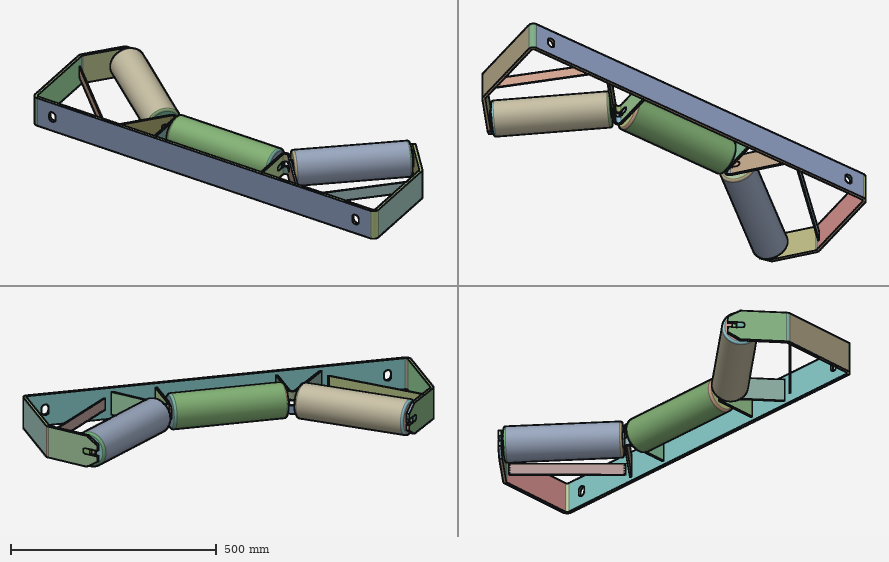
import cadquery as cq
import math


FRAME_WIDTH = 980.0
FRAME_DEPTH = 333.0
STRAP_HEIGHT = 80.0
FRAME_THICKNESS = 8.0
FRAME_BEND_RADIUS = 14.0
ARM_TIP_X = 395.0
TILT = 40.0
TIP_CHAMFER_ALONG = 30.0
TIP_CHAMFER_ACROSS = 19.0
MOUNT_SLOT_X = 433.0
MOUNT_SLOT_WIDTH = 19.0
MOUNT_SLOT_HEIGHT = 27.0

ROLLER_DIAMETER = 89.0
ROLLER_LENGTH = 290.0
ROLLER_FILLET = 6.0
CENTER_AXIS_Y = 101.0
SIDE_AXIS_FROM_TIP = 31.0
BOSS_DIAMETER = 41.0
BOSS_LENGTH = 5.0
SHAFT_HEIGHT = 20.0
SHAFT_WIDTH = 15.0

BRACKET_HEIGHT = 59.0
BRACKET_THICKNESS = 5.0
BRACKET_BEND_RADIUS = 12.0
BRACE_THICKNESS = 3.0
BRACE_HEIGHT = 30.0
BRACE_TOP_Y = 209.0

HALF_SPAN = ROLLER_LENGTH / 2 + BOSS_LENGTH
CUT_MARGIN = 98.0
SIDES = (-1, 1)

tilt = math.radians(TILT)
arm_direction = cq.Vector(math.sin(tilt), math.cos(tilt))
axis_direction = cq.Vector(math.cos(tilt), -math.sin(tilt))

arm_tip = cq.Vector(-ARM_TIP_X, FRAME_DEPTH)
shoulder = arm_tip - arm_direction * ((FRAME_WIDTH / 2 - ARM_TIP_X) / math.sin(tilt))
side_roller_center = (
    arm_tip
    - arm_direction * SIDE_AXIS_FROM_TIP
    + axis_direction * (FRAME_THICKNESS + HALF_SPAN)
)


def mirrored(body):
    """Copy of a left-hand body on the right-hand side."""
    return body.mirror("YZ")


def bent_strip(corners, thickness, bend_radius, height):
    """Strip with one face along the sharp corner points, rounded at each inner corner.

    Positive thickness grows to the left of the path, negative to the right.
    bend_radius is the bend radius of the face along the path.
    """
    up = cq.Vector(0, 0, 1)
    headings = [(b - a).normalized() for a, b in zip(corners, corners[1:])]
    normals = [up.cross(heading) for heading in headings]

    def bend_points(index, offset):
        corner = corners[index]
        before, after = normals[index - 1], normals[index]
        heading = headings[index - 1]
        side = math.copysign(1, heading.cross(headings[index]).z)
        setback = bend_radius * math.tan(heading.getAngle(headings[index]) / 2)
        center = corner - heading * setback + before * (side * bend_radius)
        reach = side * bend_radius - offset
        middle = (before + after).normalized()
        return [center - normal * reach for normal in (before, middle, after)]

    bends = range(1, len(corners) - 1)
    outline = cq.Workplane("XY", origin=(0, 0, -height / 2)).moveTo(*corners[0].toTuple()[:2])
    for index in bends:
        start, middle, end = [p.toTuple()[:2] for p in bend_points(index, 0)]
        outline = outline.lineTo(*start).threePointArc(middle, end)
    outline = outline.lineTo(*corners[-1].toTuple()[:2])
    outline = outline.lineTo(*(corners[-1] + normals[-1] * thickness).toTuple()[:2])
    for index in reversed(bends):
        start, middle, end = [p.toTuple()[:2] for p in bend_points(index, thickness)]
        outline = outline.lineTo(*end).threePointArc(middle, start)
    outline = outline.lineTo(*(corners[0] + normals[0] * thickness).toTuple()[:2])
    return outline.close().extrude(height)


def shaft_tongue(start_x, length, top):
    """Flat-sided bar along X from start_x, with a rounded underside and a flat top."""
    half_width = SHAFT_WIDTH / 2
    round_center = half_width - SHAFT_HEIGHT / 2
    return (
        cq.Workplane("YZ", origin=(start_x, 0, 0))
        .moveTo(top, -half_width)
        .lineTo(round_center, -half_width)
        .threePointArc((-SHAFT_HEIGHT / 2, 0), (round_center, half_width))
        .lineTo(top, half_width)
        .close()
        .extrude(length)
    )


def place_center(body):
    return body.translate((0, CENTER_AXIS_Y, 0))


def place_left(body):
    return body.rotate((0, 0, 0), (0, 0, 1), -TILT).translate(side_roller_center)


def make_roller(left_support, right_support):
    """Roller along X; its shaft ends flush with supports of the given thicknesses."""
    roller = (
        cq.Workplane("YZ", origin=(-ROLLER_LENGTH / 2, 0, 0))
        .circle(ROLLER_DIAMETER / 2)
        .extrude(ROLLER_LENGTH)
        .edges()
        .fillet(ROLLER_FILLET)
    )
    bosses = (
        cq.Workplane("YZ", origin=(-HALF_SPAN, 0, 0))
        .circle(BOSS_DIAMETER / 2)
        .extrude(2 * HALF_SPAN)
    )
    shaft_length = left_support + 2 * HALF_SPAN + right_support
    shaft = shaft_tongue(-HALF_SPAN - left_support, shaft_length, SHAFT_HEIGHT / 2)
    return roller.union(bosses).union(shaft)


def shaft_slot(side):
    """Cutter for the open slot at one end of a roller, deep enough to clear a bend."""
    start_x = HALF_SPAN if side > 0 else -HALF_SPAN - BRACKET_BEND_RADIUS
    return shaft_tongue(start_x, BRACKET_BEND_RADIUS, CUT_MARGIN)


def tip_chamfers():
    """Cutter for the two corners of the left arm tip."""
    half_height = STRAP_HEIGHT / 2
    plane = cq.Plane(origin=arm_tip, xDir=arm_direction, normal=axis_direction)
    corners = cq.Workplane(plane)
    for side in SIDES:
        corners = (
            corners.moveTo(0, side * half_height)
            .lineTo(-TIP_CHAMFER_ALONG, side * half_height)
            .lineTo(0, side * (half_height - TIP_CHAMFER_ACROSS))
            .close()
        )
    return corners.extrude(FRAME_THICKNESS)


def make_frame():
    left_path = [arm_tip, shoulder, cq.Vector(-FRAME_WIDTH / 2, 0)]
    right_path = [cq.Vector(-p.x, p.y) for p in reversed(left_path)]
    frame = bent_strip(left_path + right_path, FRAME_THICKNESS, FRAME_BEND_RADIUS, STRAP_HEIGHT)
    for cutter in (tip_chamfers(), place_left(shaft_slot(-1))):
        frame = frame.cut(cutter).cut(mirrored(cutter))
    mount_slots = (
        cq.Workplane("XZ")
        .pushPoints([(side * MOUNT_SLOT_X, 0) for side in SIDES])
        .slot2D(MOUNT_SLOT_HEIGHT, MOUNT_SLOT_WIDTH, 90)
        .extrude(-FRAME_THICKNESS)
    )
    return frame.cut(mount_slots)


def make_left_bracket():
    """Folded strip standing on the base between the left and centre rollers."""
    slanted_face = side_roller_center + axis_direction * HALF_SPAN
    apex = slanted_face + arm_direction * ((-HALF_SPAN - slanted_face.x) / arm_direction.x)
    foot = apex - arm_direction * (apex.y / arm_direction.y)
    path = [foot, apex, cq.Vector(-HALF_SPAN, FRAME_THICKNESS)]
    strip = bent_strip(path, -BRACKET_THICKNESS, BRACKET_BEND_RADIUS, BRACKET_HEIGHT)
    below_base_face = (
        cq.Workplane("XY")
        .box(FRAME_WIDTH, CUT_MARGIN, BRACKET_HEIGHT)
        .translate((0, FRAME_THICKNESS - CUT_MARGIN / 2, 0))
    )
    return (
        strip.cut(below_base_face)
        .cut(place_left(shaft_slot(1)))
        .cut(place_center(shaft_slot(-1)))
    )


def make_left_brace():
    """45 degree flat bar from the left side wall to the base."""
    wall_x = FRAME_THICKNESS - FRAME_WIDTH / 2
    base_y = FRAME_THICKNESS
    run = BRACE_TOP_Y - base_y
    face_width = BRACE_THICKNESS * math.sqrt(2)
    return (
        cq.Workplane("XY", origin=(0, 0, -BRACE_HEIGHT / 2))
        .polyline([
            (wall_x, BRACE_TOP_Y),
            (wall_x, BRACE_TOP_Y - face_width),
            (wall_x + run - face_width, base_y),
            (wall_x + run, base_y),
        ])
        .close()
        .extrude(BRACE_HEIGHT)
    )


frame = make_frame()
center_roller = place_center(make_roller(BRACKET_THICKNESS, BRACKET_THICKNESS))
bodies = [frame, center_roller]

left_roller = place_left(make_roller(FRAME_THICKNESS, BRACKET_THICKNESS))
for left_body in (left_roller, make_left_bracket(), make_left_brace()):
    bodies += [left_body, mirrored(left_body)]

result = cq.Compound.makeCompound([body.val() for body in bodies])